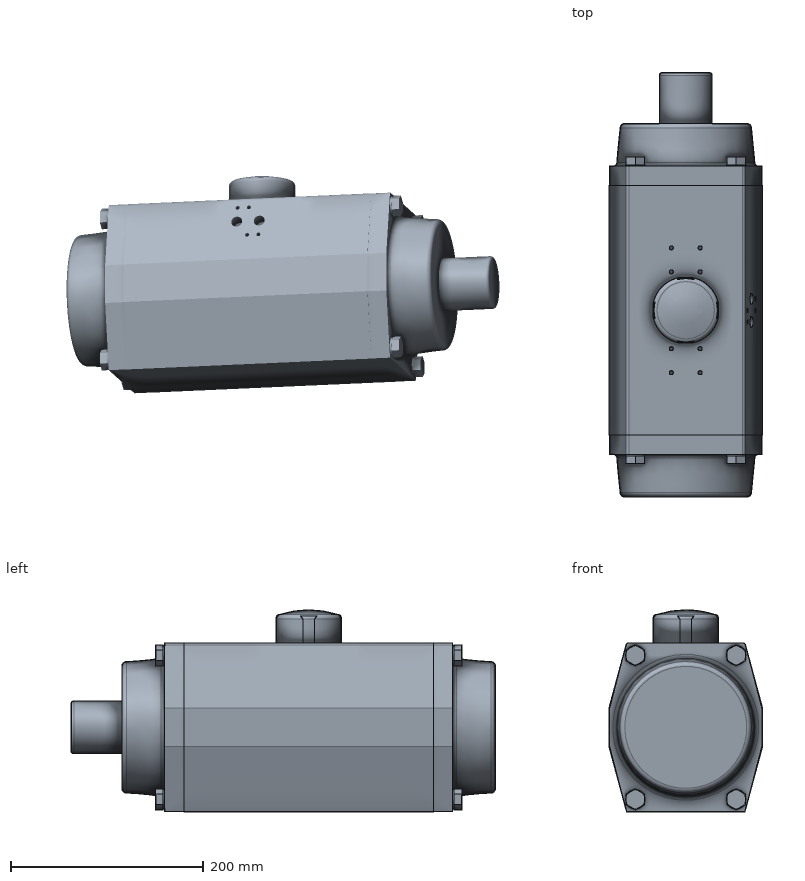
import cadquery as cq
import math

COS_45 = math.sqrt(0.5)

HALF_HEIGHT = 88.0
BODY_HALF_WIDTH = 80.0
PLATE_HALF_WIDTH = 79.2
PLATE_HALF_HEIGHT = 87.9
SIDE_FLAT_HALF_HEIGHT = 20.0
END_HALF_WIDTH = 61.6
TOP_EDGE_RADIUS = 3.0
BODY_HALF_LENGTH = 130.0
PLATE_THICKNESS = 20.0
PLATE_FACE = BODY_HALF_LENGTH + PLATE_THICKNESS

COVER_LENGTH = 44.5
COVER_ROOT_RADIUS = 72.3
COVER_END_RADIUS = 68.0
COVER_ROOT_FILLET = 4.0
COVER_END_FILLET = 5.0

TUBE_RADIUS = 27.5
TUBE_LENGTH = 53.0
TUBE_END_FILLET = 3.0

BOLT_X = 52.5
BOLT_Z = 75.0
BOLT_ACROSS_FLATS = 19.0
BOLT_HEAD_HEIGHT = 8.0
WASHER_RADIUS = 10.0
WASHER_THICKNESS = 1.5

CAP_RADIUS = 34.8
CAP_RIM_FILLET = 5.0
CAP_RIM_Z = 117.6
CAP_TOP_Z = 122.34
CAP_NOTCH_COUNT = 4
CAP_NOTCH_WIDTH = 12.0
CAP_NOTCH_FLARE = 17.0
CAP_NOTCH_TOP_Z = 116.0
CAP_NOTCH_DEPTH = 0.5

MOUNT_HOLE_DIAMETER = 4.2
MOUNT_HOLE_DEPTH = 10.0
MOUNT_HOLE_X = 15.0
MOUNT_HOLE_Y = (40.0, 65.0)

PORT_DIAMETER = 11.45
PORT_DEPTH = 15.0
PORT_Y = 12.0
PORT_X = 68.5
VALVE_HOLE_ROW_OFFSET = 16.0


def housing_prism(half_width, half_height, half_length):
    """Eight-sided prism centred on the origin, long axis along Y, with rounded top edges."""
    right_side = [
        (END_HALF_WIDTH, half_height),
        (half_width, SIDE_FLAT_HALF_HEIGHT),
        (half_width, -SIDE_FLAT_HALF_HEIGHT),
        (END_HALF_WIDTH, -half_height),
    ]
    left_side = [(-x, z) for x, z in reversed(right_side)]
    prism = cq.Workplane("XZ").polyline(right_side + left_side).close().extrude(half_length, both=True)
    return prism.edges("|Y").edges(">Z").fillet(TOP_EDGE_RADIUS)


def end_cover():
    """Tapered cover with a flared root and a rounded end, standing on Y = PLATE_FACE."""
    end = PLATE_FACE + COVER_LENGTH
    taper = (COVER_ROOT_RADIUS - COVER_END_RADIUS) / COVER_LENGTH
    flare_x = COVER_ROOT_RADIUS - taper * COVER_ROOT_FILLET
    flare_center = (flare_x + COVER_ROOT_FILLET, PLATE_FACE + COVER_ROOT_FILLET)
    flare_mid = tuple(c - COVER_ROOT_FILLET * COS_45 for c in flare_center)
    profile = (
        cq.Workplane("XY")
        .moveTo(0, PLATE_FACE)
        .lineTo(flare_center[0], PLATE_FACE)
        .threePointArc(flare_mid, (flare_x, flare_center[1]))
        .lineTo(COVER_END_RADIUS, end)
        .lineTo(0, end)
        .close()
    )
    cover = profile.revolve(360, (0, 0, 0), (0, 1, 0))
    return cover.faces(">Y").edges().fillet(COVER_END_FILLET)


def bolt_head(x, z):
    """Hexagon head on a round washer, corners pointing up and down."""
    corner_diameter = BOLT_ACROSS_FLATS / math.cos(math.pi / 6)
    washer = (
        cq.Workplane("XZ", origin=(x, PLATE_FACE, z))
        .circle(WASHER_RADIUS)
        .extrude(-WASHER_THICKNESS)
    )
    head = (
        cq.Workplane("XZ", origin=(x, PLATE_FACE + WASHER_THICKNESS, z))
        .transformed(rotate=(0, 0, 90))
        .polygon(6, corner_diameter)
        .extrude(-BOLT_HEAD_HEIGHT)
    )
    return washer.union(head)


def end_group():
    """Cover and four bolts of the +Y end."""
    group = end_cover()
    for x in (-BOLT_X, BOLT_X):
        for z in (-BOLT_Z, BOLT_Z):
            group = group.union(bolt_head(x, z))
    return group


def stop_tube():
    """Round tube standing on the end of the +Y cover."""
    cover_end = PLATE_FACE + COVER_LENGTH
    tube = cq.Workplane("XZ", origin=(0, cover_end, 0)).circle(TUBE_RADIUS).extrude(-TUBE_LENGTH)
    return tube.faces(">Y").edges().fillet(TUBE_END_FILLET)


def domed_cylinder(radius):
    """Upright cylinder on the housing top with a rounded rim and a domed top."""
    dome_radius = radius - CAP_RIM_FILLET
    rise = CAP_TOP_Z - CAP_RIM_Z
    sphere_radius = (dome_radius**2 + rise**2) / (2 * rise)
    dome_mid_x = dome_radius / 2
    dome_mid_z = CAP_TOP_Z - sphere_radius + math.sqrt(sphere_radius**2 - dome_mid_x**2)
    rim_base_z = CAP_RIM_Z - CAP_RIM_FILLET
    rim_reach = CAP_RIM_FILLET * COS_45
    return (
        cq.Workplane("XZ")
        .moveTo(0, HALF_HEIGHT)
        .lineTo(radius, HALF_HEIGHT)
        .lineTo(radius, rim_base_z)
        .threePointArc((dome_radius + rim_reach, rim_base_z + rim_reach), (dome_radius, CAP_RIM_Z))
        .threePointArc((dome_mid_x, dome_mid_z), (0, CAP_TOP_Z))
        .close()
        .revolve(360, (0, 0, 0), (0, 1, 0))
    )


def cap_notch():
    """Radial cutter on the +X side, flaring where it crosses the rounded rim."""
    rim_base_z = CAP_RIM_Z - CAP_RIM_FILLET
    half_width = CAP_NOTCH_WIDTH / 2
    half_flare = CAP_NOTCH_FLARE / 2
    return (
        cq.Workplane("YZ")
        .moveTo(-half_width, HALF_HEIGHT)
        .lineTo(half_width, HALF_HEIGHT)
        .lineTo(half_width, rim_base_z)
        .lineTo(half_flare, CAP_NOTCH_TOP_Z)
        .lineTo(-half_flare, CAP_NOTCH_TOP_Z)
        .lineTo(-half_width, rim_base_z)
        .close()
        .extrude(CAP_RADIUS)
        .cut(domed_cylinder(CAP_RADIUS - CAP_NOTCH_DEPTH))
    )


def indicator_cap():
    """Domed cap with four shallow notches around its side."""
    cap = domed_cylinder(CAP_RADIUS)
    for index in range(CAP_NOTCH_COUNT):
        cap = cap.cut(cap_notch().rotate((0, 0, 0), (0, 0, 1), index * 360 / CAP_NOTCH_COUNT))
    return cap


def top_mount_holes():
    """Cutters for two rows of four blind holes beside the indicator cap."""
    points = [
        (sx * MOUNT_HOLE_X, sy * y) for sx in (-1, 1) for sy in (-1, 1) for y in MOUNT_HOLE_Y
    ]
    return (
        cq.Workplane("XY", origin=(0, 0, HALF_HEIGHT))
        .pushPoints(points)
        .circle(MOUNT_HOLE_DIAMETER / 2)
        .extrude(-MOUNT_HOLE_DEPTH)
    )


def valve_interface():
    """Cutters for two ports and four small holes, square to the sloped +X face."""
    run = BODY_HALF_WIDTH - END_HALF_WIDTH
    drop = HALF_HEIGHT - SIDE_FLAT_HALF_HEIGHT
    port_z = SIDE_FLAT_HALF_HEIGHT + (BODY_HALF_WIDTH - PORT_X) * drop / run
    plane = cq.Plane(origin=(PORT_X, 0, port_z), xDir=(0, 1, 0), normal=(drop, 0, run))
    ports = (
        cq.Workplane(plane)
        .pushPoints([(-PORT_Y, 0), (PORT_Y, 0)])
        .circle(PORT_DIAMETER / 2)
        .extrude(-PORT_DEPTH)
    )
    upper_row = [(-PORT_Y, VALVE_HOLE_ROW_OFFSET), (0, VALVE_HOLE_ROW_OFFSET)]
    lower_row = [(0, -VALVE_HOLE_ROW_OFFSET), (PORT_Y, -VALVE_HOLE_ROW_OFFSET)]
    small_holes = (
        cq.Workplane(plane)
        .pushPoints(upper_row + lower_row)
        .circle(MOUNT_HOLE_DIAMETER / 2)
        .extrude(-MOUNT_HOLE_DEPTH)
    )
    return ports.union(small_holes)


plates = housing_prism(PLATE_HALF_WIDTH, PLATE_HALF_HEIGHT, PLATE_FACE)
body = housing_prism(BODY_HALF_WIDTH, HALF_HEIGHT, BODY_HALF_LENGTH)
back_end = end_group()
front_end = back_end.mirror("XZ")
result = (
    plates.union(body)
    .union(back_end)
    .union(front_end)
    .union(stop_tube())
    .union(indicator_cap())
    .cut(top_mount_holes())
    .cut(valve_interface())
)